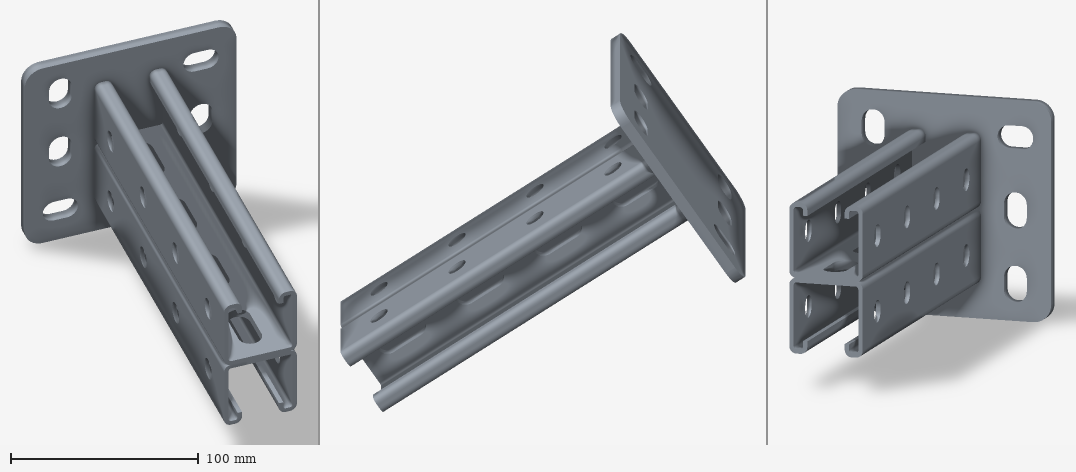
import cadquery as cq

TOTAL_LENGTH = 206.0

PLATE_SIDE = 120.0
PLATE_THICKNESS = 6.0
PLATE_CORNER_RADIUS = 10.0
PLATE_SLOT_LENGTH = 20.0
PLATE_SLOT_WIDTH = 12.8
PLATE_SLOT_SPACING_Y = 80.0
PLATE_SLOT_SPACING_Z = 40.0

CHANNEL_SIDE = 41.2
CHANNEL_LENGTH = TOTAL_LENGTH - PLATE_THICKNESS
SHEET = 2.5
BEND_RADIUS = 4.0
LIP_WIDTH = 10.0
LIP_DEPTH = 7.0
HOLE_PITCH = 50.0
HOLES_PER_CHANNEL = 4
FIRST_HOLE_X = PLATE_THICKNESS + HOLE_PITCH / 2
WEB_SLOT_LENGTH = 29.9
WEB_SLOT_WIDTH = 13.0
SIDE_SLOT_LENGTH = 12.2
SIDE_SLOT_WIDTH = 10.7

HOLE_XS = [FIRST_HOLE_X + i * HOLE_PITCH for i in range(HOLES_PER_CHANNEL)]


def make_plate():
    """Square plate with rounded corners, pierced by two columns of three slots."""
    plate = (
        cq.Workplane("YZ")
        .rect(PLATE_SIDE, PLATE_SIDE)
        .extrude(PLATE_THICKNESS)
        .edges("|X")
        .fillet(PLATE_CORNER_RADIUS)
    )
    for column in (-1, 1):
        for row in (-1, 0, 1):
            lies_flat = row == column
            slot = (
                cq.Workplane("YZ")
                .center(column * PLATE_SLOT_SPACING_Y / 2, row * PLATE_SLOT_SPACING_Z)
                .slot2D(PLATE_SLOT_LENGTH, PLATE_SLOT_WIDTH, 0 if lies_flat else 90)
                .extrude(PLATE_THICKNESS)
            )
            plate = plate.cut(slot)
    return plate


def channel_blank():
    """Lipped C-section bar standing on z = 0 with its open side up."""
    half = CHANNEL_SIDE / 2
    inner_half = half - SHEET
    lip_y = half - LIP_WIDTH
    lip_inner_y = lip_y + SHEET
    lip_z = CHANNEL_SIDE - LIP_DEPTH
    under_top = CHANNEL_SIDE - SHEET

    half_section = [
        (0, 0),
        (half, 0),
        (half, CHANNEL_SIDE),
        (lip_y, CHANNEL_SIDE),
        (lip_y, lip_z),
        (lip_inner_y, lip_z),
        (lip_inner_y, under_top),
        (inner_half, under_top),
        (inner_half, SHEET),
        (0, SHEET),
    ]
    half_bar = (
        cq.Workplane("YZ", origin=(PLATE_THICKNESS, 0, 0))
        .polyline(half_section)
        .close()
        .extrude(CHANNEL_LENGTH)
    )

    outer_corners = [(half, 0), (half, CHANNEL_SIDE), (lip_y, CHANNEL_SIDE)]
    inner_corners = [(inner_half, SHEET), (inner_half, under_top), (lip_inner_y, under_top)]
    half_bar = round_corners(half_bar, outer_corners, BEND_RADIUS)
    half_bar = round_corners(half_bar, inner_corners, BEND_RADIUS - SHEET)
    return half_bar.union(half_bar.mirror("XZ")).clean()


def round_corners(bar, corners, radius):
    """Fillet the lengthwise edges of a channel bar that run through the given (y, z) corners."""
    middle_x = PLATE_THICKNESS + CHANNEL_LENGTH / 2
    for y, z in corners:
        nearest = cq.selectors.NearestToPointSelector((middle_x, y, z))
        bar = bar.edges("|X").edges(nearest).fillet(radius)
    return bar


def make_channel():
    """Channel with a row of slots in its web and a row of holes through both sides."""
    web_slots = (
        cq.Workplane("XY")
        .pushPoints([(x, 0) for x in HOLE_XS])
        .slot2D(WEB_SLOT_LENGTH, WEB_SLOT_WIDTH)
        .extrude(SHEET)
    )
    side_slots = (
        cq.Workplane("XZ")
        .pushPoints([(x, CHANNEL_SIDE / 2) for x in HOLE_XS])
        .slot2D(SIDE_SLOT_LENGTH, SIDE_SLOT_WIDTH, 90)
        .extrude(CHANNEL_SIDE / 2, both=True)
    )
    return channel_blank().cut(web_slots).cut(side_slots)


plate = make_plate()

channels = []
for turn in (0, 180):
    channels.append(make_channel().rotate((0, 0, 0), (1, 0, 0), turn))

result = cq.Compound.makeCompound([plate.val(), *[channel.val() for channel in channels]])